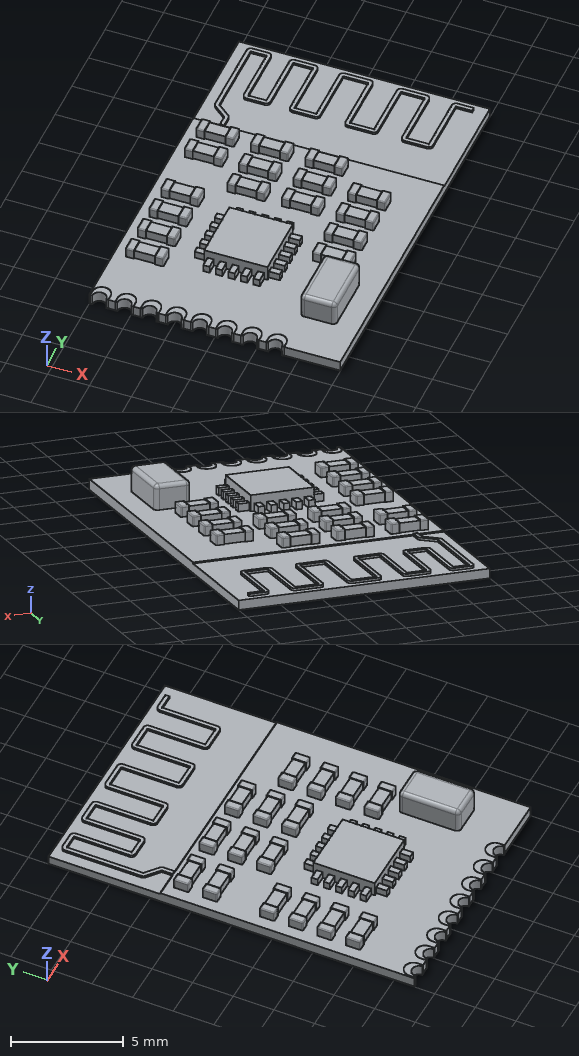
import cadquery as cq
import math

BOARD_WIDTH = 12.0
BOARD_LENGTH = 18.0
ANTENNA_LENGTH = 5.5
BARE_BOARD_TOP = 0.46
BOARD_TOP = 0.52
COATED_LENGTH = BOARD_LENGTH - ANTENNA_LENGTH

PAD_COUNT = 8
PAD_PITCH = 1.2
FIRST_PAD_X = 0.49
PAD_RADIUS = 0.43
PAD_REACH = 0.7
PAD_HOLE_RADIUS = 0.33
PLATING = 0.01

TRACE_WIDTH = 0.2
TRACE_TOP = 0.57
TRACE_BEND_RADIUS = TRACE_WIDTH
MEANDER_TOP_Y = 17.57
MEANDER_BOTTOM_Y = 14.63
MEANDER_RUNS_X = (0.68, 1.64, 2.72, 3.86, 5.1, 6.5, 7.86, 9.2, 10.48)
MEANDER_END_X = 11.36
FEED_X = 1.38
FEED_BEND_TOP_Y = 13.65
FEED_BEND_BOTTOM_Y = 13.08

CHIP_LENGTH = 1.8
CHIP_CAP_LENGTH = 0.4
CHIP_CAP_WIDTH = 0.72
CHIP_CAP_HEIGHT = 0.5
CHIP_CAP_WALL = 0.05
CHIP_CAP_FILLET = 0.05
CHIP_COLUMN_PITCH = 2.6
CHIP_ROW_PITCH = 1.41
FIRST_CHIP_X = 1.48
FIRST_CHIP_Y = 11.75
CHIP_ROWS_BY_COLUMN = (
    (0, 1, 3, 4, 5, 6),
    (0, 1, 2),
    (0, 1, 2),
    (1, 2, 3, 4),
)

IC_CENTER = (5.49, 5.35)
IC_SIZE = 3.03
IC_HEIGHT = 0.76
LEADS_PER_SIDE = 5
LEAD_PITCH = 0.6
LEAD_WIDTH = 0.3
LEAD_LENGTH = 0.52
LEAD_HEIGHT = 0.36

CRYSTAL_CENTER = (10.06, 3.69)
CRYSTAL_WIDTH = 1.7
CRYSTAL_LENGTH = 3.0
CRYSTAL_HEIGHT = 1.2
CRYSTAL_FILLET = 0.2

CENTERED_IN_PLAN = (True, True, False)


def make_board():
    bare = cq.Workplane("XY").box(BOARD_WIDTH, BOARD_LENGTH, BARE_BOARD_TOP, centered=False)
    coated = cq.Workplane("XY").box(BOARD_WIDTH, COATED_LENGTH, BOARD_TOP, centered=False)
    return bare.union(coated)


def add_castellated_pads(part):
    """Arch-shaped pads on the -Y edge, each with a half-round notch through it."""
    shoulder_y = PAD_REACH - PAD_RADIUS
    pad_centers = [(FIRST_PAD_X + i * PAD_PITCH, 0) for i in range(PAD_COUNT)]
    for x, _ in pad_centers:
        pad = (
            cq.Workplane("XY")
            .moveTo(x - PAD_RADIUS, -PLATING)
            .lineTo(x + PAD_RADIUS, -PLATING)
            .lineTo(x + PAD_RADIUS, shoulder_y)
            .threePointArc((x, PAD_REACH), (x - PAD_RADIUS, shoulder_y))
            .close()
            .extrude(BOARD_TOP + PLATING)
        )
        part = part.union(pad)
    notches = (
        cq.Workplane("XY")
        .pushPoints(pad_centers)
        .circle(PAD_HOLE_RADIUS)
        .extrude(BOARD_TOP + PLATING)
    )
    return part.cut(notches)


def antenna_path_points():
    """Centerline from the feed at the edge of the coated area to the free end."""
    points = [
        (FEED_X, COATED_LENGTH),
        (FEED_X, FEED_BEND_BOTTOM_Y),
        (MEANDER_RUNS_X[0], FEED_BEND_TOP_Y),
    ]
    turn_levels = (MEANDER_TOP_Y, MEANDER_BOTTOM_Y)
    for i, start_x in enumerate(MEANDER_RUNS_X):
        turn_y = turn_levels[i % 2]
        points.append((start_x, turn_y))
        is_last = i == len(MEANDER_RUNS_X) - 1
        points.append((MEANDER_END_X if is_last else MEANDER_RUNS_X[i + 1], turn_y))
    return points


def direction(start, end):
    length = math.dist(start, end)
    return (end[0] - start[0]) / length, (end[1] - start[1]) / length


def outside_bend_edge(trace, before, bend, after):
    """Vertical edge of the trace on the outer side of one bend."""
    in_x, in_y = direction(before, bend)
    out_x, out_y = direction(bend, after)
    outside = (
        bend[0] + TRACE_WIDTH * (in_x - out_x),
        bend[1] + TRACE_WIDTH * (in_y - out_y),
        TRACE_TOP / 2,
    )
    return trace.edges("|Z").edges(cq.NearestToPointSelector(outside)).val()


def make_antenna():
    """Flat trace swept along the centerline, rounded on the outside of each bend."""
    points = antenna_path_points()
    middle_z = TRACE_TOP / 2
    path = cq.Workplane("XY", origin=(0, 0, middle_z)).polyline(points)
    trace = (
        cq.Workplane("XZ", origin=(FEED_X, COATED_LENGTH, middle_z))
        .rect(TRACE_WIDTH, TRACE_TOP)
        .sweep(path, transition="right")
    )
    bends = zip(points, points[1:], points[2:])
    outside_edges = [outside_bend_edge(trace, *bend) for bend in bends]
    return trace.newObject(outside_edges).fillet(TRACE_BEND_RADIUS)


def make_chip():
    """One chip component, centered in plan and standing on Z = 0."""
    chip = cq.Workplane("XY").box(
        CHIP_LENGTH - 2 * CHIP_CAP_WALL,
        CHIP_CAP_WIDTH - 2 * CHIP_CAP_WALL,
        CHIP_CAP_HEIGHT - CHIP_CAP_WALL,
        centered=CENTERED_IN_PLAN,
    )
    cap = (
        cq.Workplane("XY")
        .box(CHIP_CAP_LENGTH, CHIP_CAP_WIDTH, CHIP_CAP_HEIGHT, centered=CENTERED_IN_PLAN)
        .edges("(<X and |Z) or (>Z and (not >X))")
        .fillet(CHIP_CAP_FILLET)
        .translate(((CHIP_CAP_LENGTH - CHIP_LENGTH) / 2, 0, 0))
    )
    return chip.union(cap).union(cap.mirror("YZ"))


def add_chips(part):
    chip = make_chip()
    for column, rows in enumerate(CHIP_ROWS_BY_COLUMN):
        x = FIRST_CHIP_X + column * CHIP_COLUMN_PITCH
        for row in rows:
            y = FIRST_CHIP_Y - row * CHIP_ROW_PITCH
            part = part.union(chip.translate((x, y, BOARD_TOP)))
    return part


def make_ic():
    """Square package; each lead bar passes straight through it, giving two opposite leads."""
    span = IC_SIZE + 2 * LEAD_LENGTH
    ic = cq.Workplane("XY").box(IC_SIZE, IC_SIZE, IC_HEIGHT, centered=CENTERED_IN_PLAN)
    for i in range(LEADS_PER_SIDE):
        offset = (i - (LEADS_PER_SIDE - 1) / 2) * LEAD_PITCH
        bar = cq.Workplane("XY").box(LEAD_WIDTH, span, LEAD_HEIGHT, centered=CENTERED_IN_PLAN)
        bar = bar.translate((offset, 0, 0))
        ic = ic.union(bar).union(bar.rotate((0, 0, 0), (0, 0, 1), 90))
    return ic.translate((*IC_CENTER, BOARD_TOP))


def make_crystal():
    return (
        cq.Workplane("XY")
        .box(CRYSTAL_WIDTH, CRYSTAL_LENGTH, CRYSTAL_HEIGHT, centered=CENTERED_IN_PLAN)
        .edges("|Z or >Z")
        .fillet(CRYSTAL_FILLET)
        .translate((*CRYSTAL_CENTER, BOARD_TOP))
    )


result = make_board()
result = add_castellated_pads(result)
result = result.union(make_antenna())
result = add_chips(result)
result = result.union(make_ic())
result = result.union(make_crystal())